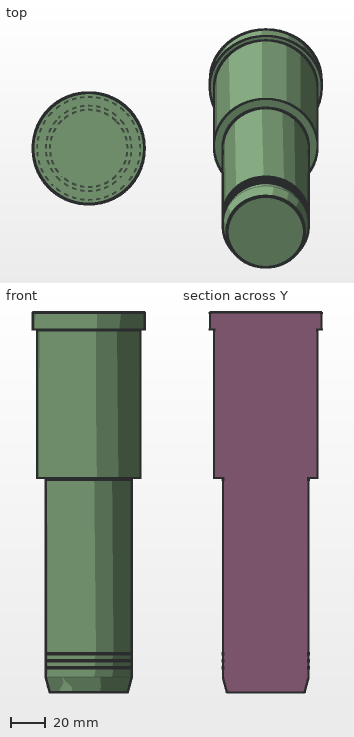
import cadquery as cq
import math

total_length = 220.0
head_radius = 65.0 / 2
body_radius = 60.0 / 2
shank_radius = 50.0 / 2
head_height = 10.1
body_height = 85.8

tip_height = 9.0
tip_angle = math.radians(15)

edge_chamfer = 0.5

relief_depth = 0.5
shoulder_relief_height = 1.0
head_relief_height = 0.7

groove_count = 3
groove_radius = 0.5
groove_pitch = 4.0
lowest_groove_height = 14.5

head_bottom = total_length - head_height
body_bottom = head_bottom - body_height
tip_radius = shank_radius - tip_height * math.tan(tip_angle)

outline = [
    (0, 0),
    (tip_radius - edge_chamfer, 0),
    (tip_radius + edge_chamfer * math.tan(tip_angle), edge_chamfer),
    (shank_radius, tip_height),
    (shank_radius, body_bottom - shoulder_relief_height),
    (shank_radius - relief_depth, body_bottom - shoulder_relief_height),
    (shank_radius - relief_depth, body_bottom),
    (body_radius, body_bottom),
    (body_radius, head_bottom - head_relief_height),
    (body_radius - relief_depth, head_bottom),
    (head_radius, head_bottom),
    (head_radius, total_length - edge_chamfer),
    (head_radius - edge_chamfer, total_length),
    (0, total_length),
]
pin = cq.Workplane("XZ").polyline(outline).close().revolve(360, (0, 0), (0, 1))


def ring_groove(height):
    """Ring of round section, centred on the surface of the shank."""
    return cq.Workplane("XZ").center(shank_radius, height).circle(groove_radius).revolve(
        360, (-shank_radius, 0), (-shank_radius, 1)
    )


for index in range(groove_count):
    pin = pin.cut(ring_groove(lowest_groove_height + index * groove_pitch))

result = pin